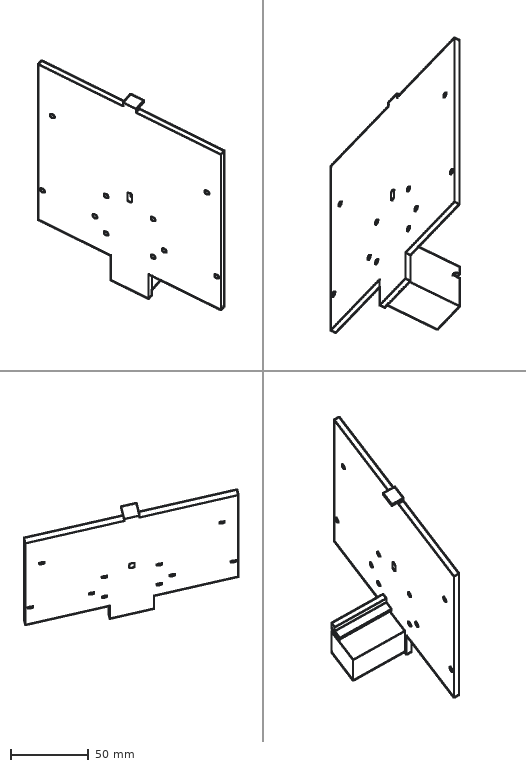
import cadquery as cq


plate_width = 141.9
plate_thickness = 4.0
plate_bottom = 23.8
plate_top = 174.95

tongue_width = 29.5

tab_width = 10.3
tab_top = 178.45
lip_thickness = 1.5
lip_overhang = 0.15
lip_depth = 9.0

hole_diameter = 3.5
upper_hole_spacing = 120.0
upper_hole_height = 131.3
square_pattern_spacing = 36.5
square_pattern_height = 61.4
row_height = 54.4
row_inner_spacing = 53.8
row_outer_spacing = 135.2
slot_width = hole_diameter
slot_length = 8.6
slot_height = 89.3

bracket_width = 25.8
bracket_bottom = 1.1
bracket_end = 44.0
block_top = 27.0
wall_top = 37.5
wall_thickness = 3.9
shelf_bottom = 30.9
shelf_thickness = 1.7
shelf_reach = 6.1
notch_radius = 5.4
notch_height = 26.0


def box(x_min, x_max, y_min, y_max, z_min, z_max):
    """Box given by its limits along each axis."""
    size = (x_max - x_min, y_max - y_min, z_max - z_min)
    return cq.Workplane("XY").box(*size, centered=False).translate((x_min, y_min, z_min))


def centred_box(width, y_min, y_max, z_min, z_max):
    """Box that is symmetric about X = 0."""
    return box(-width / 2, width / 2, y_min, y_max, z_min, z_max)


def make_plate():
    """Plate with its tongue and the hooked tab."""
    plate = centred_box(plate_width, 0, plate_thickness, plate_bottom, plate_top)
    tongue = centred_box(tongue_width, 0, plate_thickness, 0, plate_bottom)
    neck = centred_box(tab_width - 2 * lip_overhang, 0, plate_thickness, plate_top, tab_top)
    lip = centred_box(tab_width, 0, lip_depth, tab_top - lip_thickness, tab_top)
    return plate.union(tongue).union(neck).union(lip)


def mirrored_pair(spacing, height):
    """Two points at one height, mirrored about X = 0."""
    return [(-spacing / 2, height), (spacing / 2, height)]


def make_plate_cutters():
    """Round holes and the vertical slot, running through the plate only."""
    half_square = square_pattern_spacing / 2
    points = mirrored_pair(upper_hole_spacing, upper_hole_height)
    points += mirrored_pair(row_inner_spacing, row_height)
    points += mirrored_pair(row_outer_spacing, row_height)
    points += mirrored_pair(square_pattern_spacing, square_pattern_height - half_square)
    points += mirrored_pair(square_pattern_spacing, square_pattern_height + half_square)

    holes = cq.Workplane("XZ").pushPoints(points).circle(hole_diameter / 2).extrude(-plate_thickness)
    slot = (
        cq.Workplane("XZ")
        .center(0, slot_height)
        .slot2D(slot_length, slot_width, 90)
        .extrude(-plate_thickness)
    )
    return holes.union(slot)


def make_bracket():
    """Block with a side wall and an overhanging shelf; the wall has a round end notch above the block."""
    side = bracket_width / 2
    wall_inside = side - wall_thickness
    shelf_edge = wall_inside - shelf_reach
    shelf_top = shelf_bottom + shelf_thickness

    wall = box(wall_inside, side, plate_thickness, bracket_end, block_top, wall_top)
    notch = (
        cq.Workplane("YZ", origin=(wall_inside, 0, 0))
        .center(bracket_end, notch_height)
        .circle(notch_radius)
        .extrude(wall_thickness)
    )
    notch = notch.intersect(box(wall_inside, side, 0, bracket_end, block_top, shelf_bottom))

    block = centred_box(bracket_width, plate_thickness, bracket_end, bracket_bottom, block_top)
    shelf = box(shelf_edge, wall_inside, plate_thickness, bracket_end, shelf_bottom, shelf_top)
    return block.union(wall.cut(notch)).union(shelf)


result = make_plate().cut(make_plate_cutters()).union(make_bracket())